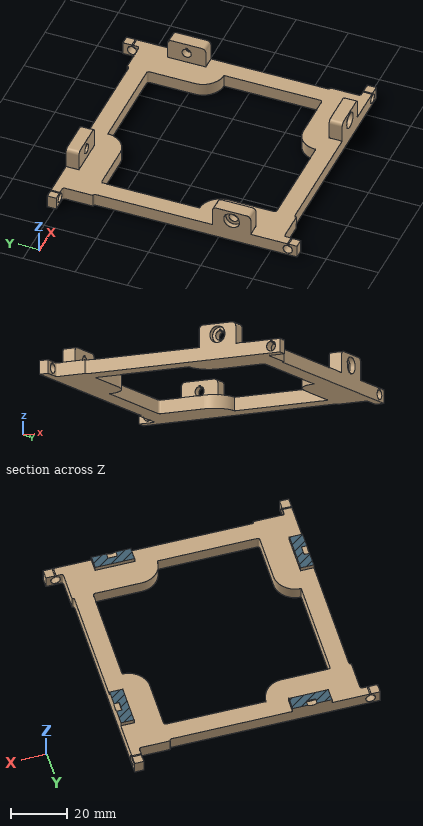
import cadquery as cq
import math

SPAN = 100.0
BASE_HEIGHT = 5.0
TOTAL_HEIGHT = 13.0
SIDES = 4

RING_WIDTH = 85.7
RING_HALF = RING_WIDTH / 2
BAR_WIDTH = 7.0
OPENING_HALF = RING_HALF - BAR_WIDTH

PAD_STEP = 0.8
PAD_DEPTH = 15.0
PAD_EDGE = RING_HALF - PAD_DEPTH
PAD_END = 9.8
PAD_END_RADIUS = OPENING_HALF - PAD_EDGE

TAB_TIP = SPAN / 2
TAB_THICKNESS = 3.5
TAB_HOLE_DIAMETER = 3.5
TAB_HOLE_OFFSET = 46.4
TAB_HOLE_HEIGHT = BASE_HEIGHT / 2

LUG_WIDTH = 14.7
LUG_THICKNESS = 5.0
LUG_OFFSET = 24.9
LUG_CORNER_RADIUS = 1.6
LUG_HOLE_DIAMETER = 3.5
LUG_HOLE_HEIGHT = (BASE_HEIGHT + TOTAL_HEIGHT) / 2
COUNTERBORE_DIAMETER = 6.0
COUNTERBORE_DEPTH = 2.0

RELIEF_WIDTH = 0.5
RELIEF_RISE = 2.2

CORNER_FILLET = 0.8
STEP_FILLET = 0.75


def turned(point, quarter):
    """Rotate an (x, y) point clockwise about the centre by quarter turns."""
    x, y = point
    for _ in range(quarter):
        x, y = y, -x
    return x, y


def on_all_sides(solid):
    """Union of a solid with its copies on the other three sides."""
    pattern = cq.Workplane("XY").add(solid)
    for quarter in range(1, SIDES):
        copy = solid.rotate((0, 0, 0), (0, 0, 1), -90 * quarter)
        pattern = pattern.union(copy)
    return pattern


def fillet_upright_edges(body, corner, radius):
    """Fillet the vertical base edge at a corner and its three turned copies."""
    for quarter in range(SIDES):
        x, y = turned(corner, quarter)
        edge = cq.selectors.NearestToPointSelector((x, y, BASE_HEIGHT / 2))
        body = body.edges("|Z").edges(edge).fillet(radius)
    return body


def make_outer_plate():
    """Plate with the stepped pads and the tabs, without the opening."""
    pad_face = RING_HALF + PAD_STEP
    tab_inner = RING_HALF - TAB_THICKNESS
    step_corner = (-RING_HALF, PAD_EDGE)
    tab_corner = (-pad_face, tab_inner)
    corner_points = [
        step_corner,
        (-pad_face, PAD_EDGE),
        tab_corner,
        (-TAB_TIP, tab_inner),
        (-TAB_TIP, RING_HALF),
    ]
    outline = [turned(p, quarter) for quarter in range(SIDES) for p in corner_points]
    plate = cq.Workplane("XY").polyline(outline).close().extrude(BASE_HEIGHT)
    plate = fillet_upright_edges(plate, step_corner, STEP_FILLET)
    return fillet_upright_edges(plate, tab_corner, CORNER_FILLET)


def make_opening():
    """Central opening, narrowed by the round-ended pads."""
    inner_corner = (-OPENING_HALF, PAD_EDGE)
    arc_start = (-PAD_END - PAD_END_RADIUS, PAD_EDGE)
    arc_reach = PAD_END_RADIUS * math.sqrt(0.5)
    arc_middle = (arc_start[0] + arc_reach, OPENING_HALF - arc_reach)
    arc_end = (-PAD_END, OPENING_HALF)

    outline = cq.Workplane("XY").moveTo(*inner_corner)
    for quarter in range(SIDES):
        outline = outline.lineTo(*turned(arc_start, quarter))
        outline = outline.threePointArc(turned(arc_middle, quarter), turned(arc_end, quarter))
        if quarter < SIDES - 1:
            outline = outline.lineTo(*turned(inner_corner, quarter + 1))
    opening = outline.close().extrude(BASE_HEIGHT)
    return fillet_upright_edges(opening, inner_corner, CORNER_FILLET)


def front_cylinder(x, z, diameter, depth):
    """Cylinder running inwards (+Y) from the outer face of the front bar."""
    centre = cq.Vector(x, -RING_HALF, z)
    return cq.Workplane(cq.Solid.makeCylinder(diameter / 2, depth, centre, cq.Vector(0, 1, 0)))


def front_relief(x, z, depth):
    """Relief slot above a hole axis, running inwards from the front face."""
    relief = cq.Workplane("XY").box(RELIEF_WIDTH, depth, RELIEF_RISE, centered=(True, False, False))
    return relief.translate((x, -RING_HALF, z))


def make_front_lug():
    """Lug flush with the front face, with its two top corners rounded."""
    lug = cq.Workplane("XY").box(
        LUG_WIDTH, LUG_THICKNESS, TOTAL_HEIGHT, centered=(True, False, False)
    )
    lug = lug.edges("|Y and >Z").fillet(LUG_CORNER_RADIUS)
    return lug.translate((LUG_OFFSET, -RING_HALF, 0))


def make_front_holes():
    """Counterbored lug hole and plain tab hole of the front side, with their reliefs."""
    bore = front_cylinder(LUG_OFFSET, LUG_HOLE_HEIGHT, LUG_HOLE_DIAMETER, LUG_THICKNESS)
    counterbore = front_cylinder(
        LUG_OFFSET, LUG_HOLE_HEIGHT, COUNTERBORE_DIAMETER, COUNTERBORE_DEPTH
    )
    tab_hole = front_cylinder(TAB_HOLE_OFFSET, TAB_HOLE_HEIGHT, TAB_HOLE_DIAMETER, TAB_THICKNESS)
    lug_relief = front_relief(LUG_OFFSET, LUG_HOLE_HEIGHT, LUG_THICKNESS)
    tab_relief = front_relief(TAB_HOLE_OFFSET, TAB_HOLE_HEIGHT, TAB_THICKNESS)
    lug_hole = bore.union(lug_relief).union(counterbore)
    return lug_hole.union(tab_hole.union(tab_relief))


frame = make_outer_plate().cut(make_opening())
frame = frame.union(on_all_sides(make_front_lug()))
result = frame.cut(on_all_sides(make_front_holes()))